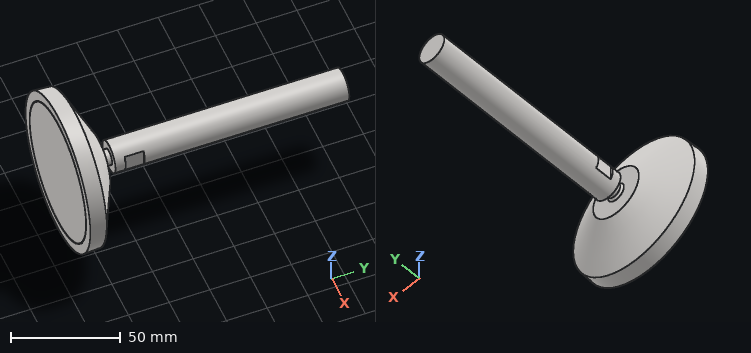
import cadquery as cq

total_length = 140.0
sole_y = -total_length / 2

sole_diameter = 78.0
rim_top_diameter = 77.1
crown_diameter = 29.0
rim_height = 8.3
plate_height = 19.9

groove_outer_diameter = 68.0
groove_inner_diameter = 67.5
groove_depth = 1.0

shank_diameter = 16.0
shank_start = 25.0
neck_diameter = 7.8
neck_start = 21.1
flare_diameter = 10.1

flat_spacing = 13.0
flats_start = 30.1
flats_length = 9.4


def revolve_about_stud_axis(points):
    """Revolve a closed (radius, height above sole) outline about the Y axis."""
    placed = [(radius, sole_y + height) for radius, height in points]
    return cq.Workplane("XY").polyline(placed).close().revolve(360, (0, 0), (0, 1))


def make_foot_plate():
    """Tapered rim with a conical top and a narrow ring groove in the sole."""
    return revolve_about_stud_axis([
        (0, 0),
        (groove_inner_diameter / 2, 0),
        (groove_inner_diameter / 2, groove_depth),
        (groove_outer_diameter / 2, groove_depth),
        (groove_outer_diameter / 2, 0),
        (sole_diameter / 2, 0),
        (rim_top_diameter / 2, rim_height),
        (crown_diameter / 2, plate_height),
        (0, plate_height),
    ])


def make_stud():
    """Shank and neck, flared where the neck stands on the foot plate."""
    stud = revolve_about_stud_axis([
        (0, plate_height),
        (flare_diameter / 2, plate_height),
        (neck_diameter / 2, neck_start),
        (neck_diameter / 2, shank_start),
        (shank_diameter / 2, shank_start),
        (shank_diameter / 2, total_length),
        (0, total_length),
    ])
    return cut_wrench_flats(stud)


def cut_wrench_flats(stud):
    """Cut two parallel flats facing -X and +X near the neck."""
    cutter_width = shank_diameter
    flats_center_y = sole_y + flats_start + flats_length / 2
    for side in (-1, 1):
        cutter_x = side * (flat_spacing + cutter_width) / 2
        cutter = (
            cq.Workplane("XY")
            .box(cutter_width, flats_length, shank_diameter)
            .translate((cutter_x, flats_center_y, 0))
        )
        stud = stud.cut(cutter)
    return stud


foot_plate = make_foot_plate()
stud = make_stud()

result = cq.Compound.makeCompound([foot_plate.val(), stud.val()])